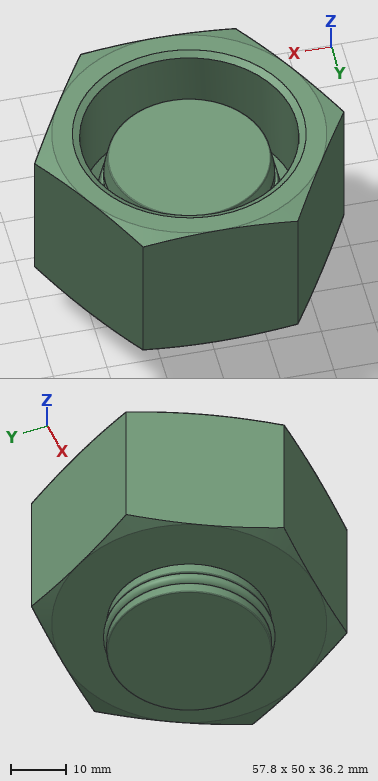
import cadquery as cq
import math

hex_corners = 57.75
hex_flats = hex_corners * math.sqrt(3) / 2
nut_height = 29.0
corner_chamfer_angle = math.radians(15)
corner_chamfer = (hex_corners - hex_flats) / 2 * math.tan(corner_chamfer_angle)

bore_radius = 39.85 / 2
mouth_radius = 21.25
mouth_angle = math.radians(30)
mouth_depth = (mouth_radius - bore_radius) * math.tan(mouth_angle)

stub_radius = 30.0 / 2
stub_bottom = -7.2
nose_recess = 6.2
nose_top = nut_height - nose_recess
nose_top_radius = 14.85
shoulder_radius = 17.9
nose_half_angle = math.radians(12)
nose_slope = math.tan(nose_half_angle)
shoulder_z = nose_top - (shoulder_radius - nose_top_radius) / nose_slope
seat_bottom = shoulder_z - (shoulder_radius - stub_radius)
seat_top = shoulder_z + (bore_radius - shoulder_radius)

groove_floor_radius = 28.0 / 2
groove_width = 2.8
ring_outer_radius = 15.6
ring_wire_radius = 1.2
ring_center_radius = ring_outer_radius - ring_wire_radius
stub_ring_z = -3.5
nose_groove_top_radius = 15.6
nose_ring_z = nose_top - (nose_groove_top_radius - nose_top_radius) / nose_slope - groove_width / 2
ring_heights = [stub_ring_z, nose_ring_z]
edge_round = 0.2


def revolve_profile(points):
    """Revolve an (r, z) outline about the Z axis."""
    return cq.Workplane("XZ").polyline(points).close().revolve(360, (0, 0, 0), (0, 1, 0))


def make_nut():
    hexagon = cq.Workplane("XY").polygon(6, hex_corners).extrude(nut_height)
    envelope = revolve_profile([
        (0, 0),
        (hex_flats / 2, 0),
        (hex_corners / 2, corner_chamfer),
        (hex_corners / 2, nut_height - corner_chamfer),
        (hex_flats / 2, nut_height),
        (0, nut_height),
    ])
    bore = revolve_profile([
        (0, 0),
        (stub_radius, 0),
        (stub_radius, seat_bottom),
        (bore_radius, seat_top),
        (bore_radius, nut_height - mouth_depth),
        (mouth_radius, nut_height),
        (0, nut_height),
    ])
    return hexagon.intersect(envelope).cut(bore)


def make_o_ring(center_z):
    return (
        cq.Workplane("XZ")
        .center(ring_center_radius, center_z)
        .circle(ring_wire_radius)
        .revolve(360, (-ring_center_radius, 0, 0), (-ring_center_radius, 1, 0))
    )


def make_groove(center_z):
    """Annular cutter reaching past the widest part of the plug."""
    return (
        cq.Workplane("XY")
        .workplane(offset=center_z - groove_width / 2)
        .circle(shoulder_radius)
        .circle(groove_floor_radius)
        .extrude(groove_width)
    )


def make_plug(o_rings):
    plug = revolve_profile([
        (0, stub_bottom),
        (stub_radius, stub_bottom),
        (stub_radius, seat_bottom),
        (shoulder_radius, shoulder_z),
        (nose_top_radius, nose_top),
        (0, nose_top),
    ])
    for center_z in ring_heights:
        plug = plug.cut(make_groove(center_z))

    rim_heights = [stub_bottom, nose_top]
    for center_z in ring_heights:
        rim_heights += [center_z - groove_width / 2, center_z + groove_width / 2]
    mid_radius = (groove_floor_radius + nose_top_radius) / 2
    rims = [
        edge for edge in plug.edges("%CIRCLE").vals()
        if edge.radius() > mid_radius
        and any(math.isclose(edge.Center().z, z, abs_tol=edge_round / 2) for z in rim_heights)
    ]
    plug = plug.newObject(rims).fillet(edge_round)

    for o_ring in o_rings:
        plug = plug.cut(o_ring)
    return plug


nut = make_nut()
o_rings = [make_o_ring(center_z) for center_z in ring_heights]
plug = make_plug(o_rings)

result = cq.Compound.makeCompound([nut.val(), plug.val(), *[ring.val() for ring in o_rings]])